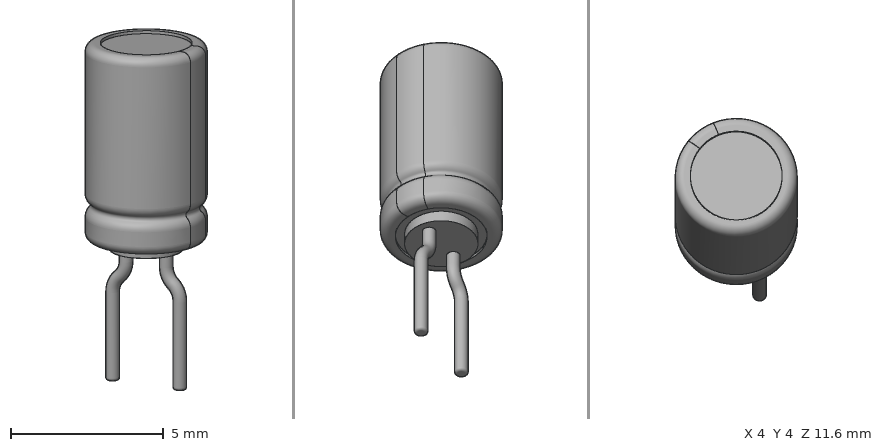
import cadquery as cq
import math


total_height = 11.6
lead_length = 4.6
body_top = total_height - lead_length

sleeve_diameter = 4.0
sleeve_thickness = 0.1
edge_radius = 0.3
lip_diameter = 3.0
stripe_angle = 30.0

plug_diameter = 2.4
plug_height = 0.3
body_bottom = plug_height

groove_height = 1.2
groove_center = body_bottom + groove_height
groove_half_width = 0.4
throat_diameter = 3.6
throat_radius = 0.13

lead_diameter = 0.45
plug_pitch = 1.5
board_pitch = 2.5
bend_start = 0.5
bend_height = 1.1
tip_radius = 0.1

sleeve_radius = sleeve_diameter / 2
groove_depth = (sleeve_diameter - throat_diameter) / 2
groove_arc_sum = (groove_depth**2 + groove_half_width**2) / (2 * groove_depth)
shoulder_radius = groove_arc_sum - throat_radius
groove_arc_angle = math.asin(groove_half_width / groove_arc_sum)


def arc_point(center, radius, angle):
    """Point on a circle in the (r, z) half plane."""
    return (center[0] + radius * math.cos(angle), center[1] + radius * math.sin(angle))


def grooved_barrel(inset):
    """Solid barrel with a crimp groove and round edges, its whole surface moved in by inset."""
    radius = sleeve_radius - inset
    bottom = body_bottom + inset
    top = body_top - inset
    edge = edge_radius - inset
    shoulder = shoulder_radius - inset

    edge_center_r = radius - edge
    bottom_edge_center = (edge_center_r, bottom + edge)
    top_edge_center = (edge_center_r, top - edge)
    lower_shoulder_center = (radius - shoulder, groove_center - groove_half_width)
    upper_shoulder_center = (radius - shoulder, groove_center + groove_half_width)
    throat_point = (radius - groove_depth, groove_center)
    lower_tangent = arc_point(lower_shoulder_center, shoulder, groove_arc_angle)
    upper_tangent = arc_point(upper_shoulder_center, shoulder, -groove_arc_angle)
    eighth_turn = math.pi / 4

    outline = (
        cq.Workplane("XZ")
        .moveTo(0, bottom)
        .lineTo(edge_center_r, bottom)
        .threePointArc(arc_point(bottom_edge_center, edge, -eighth_turn), (radius, bottom + edge))
        .lineTo(radius, lower_shoulder_center[1])
        .threePointArc(arc_point(lower_shoulder_center, shoulder, groove_arc_angle / 2), lower_tangent)
        .threePointArc(throat_point, upper_tangent)
        .threePointArc(
            arc_point(upper_shoulder_center, shoulder, -groove_arc_angle / 2),
            (radius, upper_shoulder_center[1]),
        )
        .lineTo(radius, top - edge)
        .threePointArc(arc_point(top_edge_center, edge, eighth_turn), (edge_center_r, top))
        .lineTo(0, top)
        .close()
    )
    return outline.revolve(360, (0, 0, 0), (0, 1, 0))


def make_wrap(can):
    """Thin wrap around the can, folded over both ends into a lip."""
    lip_opening = cq.Workplane("XY").circle(lip_diameter / 2).extrude(body_top)
    return grooved_barrel(0).cut(can).cut(lip_opening)


def make_stripe_sector():
    """Wedge about the +X direction that covers the polarity stripe."""
    reach = sleeve_diameter
    half_width = reach * math.tan(math.radians(stripe_angle / 2))
    return (
        cq.Workplane("XY")
        .polyline([(0, 0), (reach, -half_width), (reach, half_width)])
        .close()
        .extrude(body_top)
    )


def make_plug():
    """Base plug, standing through the lower lip against the bottom of the can."""
    return cq.Workplane("XY").circle(plug_diameter / 2).extrude(plug_height + sleeve_thickness)


def make_lead(side):
    """Round lead with an outward S-bend; side is -1 or 1 along X."""
    plug_x = side * plug_pitch / 2
    board_x = side * board_pitch / 2
    bend_top = (plug_x, -bend_start)
    bend_middle = ((plug_x + board_x) / 2, -bend_start - bend_height / 2)
    bend_bottom = (board_x, -bend_start - bend_height)
    path = (
        cq.Workplane("XZ")
        .moveTo(plug_x, 0)
        .lineTo(*bend_top)
        .tangentArcPoint(bend_middle, relative=False)
        .tangentArcPoint(bend_bottom, relative=False)
        .lineTo(board_x, -lead_length)
    )
    lead = cq.Workplane("XY").center(plug_x, 0).circle(lead_diameter / 2).sweep(path)
    return lead.faces("<Z").edges().fillet(tip_radius).solids()


can = grooved_barrel(sleeve_thickness)
wrap = make_wrap(can)
stripe_sector = make_stripe_sector()
sleeve = wrap.cut(stripe_sector).solids()
stripe = wrap.intersect(stripe_sector).solids()
plug = make_plug()
leads = [make_lead(side) for side in (-1, 1)]

result = cq.Compound.makeCompound(
    [can.val(), sleeve.val(), stripe.val(), plug.val(), *[lead.val() for lead in leads]]
)